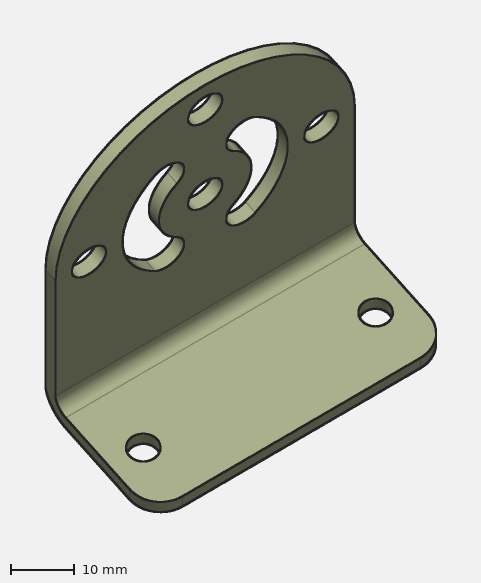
import cadquery as cq
import math

HEIGHT = 65.0
WIDTH = 58.0
DEPTH = 28.6
THICKNESS = 2.7
BEND_INNER_RADIUS = 2.7
BEND_OUTER_RADIUS = BEND_INNER_RADIUS + THICKNESS

TOP_RADIUS = WIDTH / 2
ARC_CENTER_Z = HEIGHT - TOP_RADIUS
PLATE_HOLE_DIAMETER = 6.6
HOLE_OFFSET = 22.5
SLOT_RADIUS = 12.5
SLOT_WIDTH = 7.0
SLOT_HALF_ANGLE = 52.6
SLOT_MIDDLE_ANGLES = (0, 180)

FOOT_CORNER_RADIUS = 6.0
FOOT_HOLE_DIAMETER = 5.4
FOOT_HOLE_X = 17.3


def bent_sheet():
    """L-shaped sheet of constant thickness, extruded along Y."""
    return (
        cq.Workplane("XZ")
        .moveTo(0, HEIGHT)
        .lineTo(0, BEND_OUTER_RADIUS)
        .radiusArc((BEND_OUTER_RADIUS, 0), -BEND_OUTER_RADIUS)
        .lineTo(DEPTH, 0)
        .lineTo(DEPTH, THICKNESS)
        .lineTo(BEND_OUTER_RADIUS, THICKNESS)
        .radiusArc((THICKNESS, BEND_OUTER_RADIUS), BEND_INNER_RADIUS)
        .lineTo(THICKNESS, HEIGHT)
        .close()
        .extrude(WIDTH / 2, both=True)
    )


def front_outline():
    """Straight-sided outline with a semicircular top, extruded along X."""
    return (
        cq.Workplane("YZ")
        .moveTo(-TOP_RADIUS, 0)
        .lineTo(TOP_RADIUS, 0)
        .lineTo(TOP_RADIUS, ARC_CENTER_Z)
        .threePointArc((0, HEIGHT), (-TOP_RADIUS, ARC_CENTER_Z))
        .close()
        .extrude(DEPTH)
    )


def plate_holes():
    """One hole at the arc centre, one above it and one on either side."""
    centers = [(0, 0), (0, HOLE_OFFSET), (-HOLE_OFFSET, 0), (HOLE_OFFSET, 0)]
    return (
        cq.Workplane("YZ", origin=(0, 0, ARC_CENTER_Z))
        .pushPoints(centers)
        .circle(PLATE_HOLE_DIAMETER / 2)
        .extrude(THICKNESS)
    )


def polar_point(radius, angle):
    """Point on a circle about the arc centre, with the angle in degrees from +Y."""
    return (radius * math.cos(math.radians(angle)), radius * math.sin(math.radians(angle)))


def arc_slot(middle_angle):
    """Round-ended slot that follows a circle about the arc centre."""
    inner_radius = SLOT_RADIUS - SLOT_WIDTH / 2
    outer_radius = SLOT_RADIUS + SLOT_WIDTH / 2
    start_angle = middle_angle - SLOT_HALF_ANGLE
    end_angle = middle_angle + SLOT_HALF_ANGLE
    end_radius = SLOT_WIDTH / 2
    return (
        cq.Workplane("YZ", origin=(0, 0, ARC_CENTER_Z))
        .moveTo(*polar_point(outer_radius, start_angle))
        .threePointArc(polar_point(outer_radius, middle_angle), polar_point(outer_radius, end_angle))
        .radiusArc(polar_point(inner_radius, end_angle), -end_radius)
        .threePointArc(polar_point(inner_radius, middle_angle), polar_point(inner_radius, start_angle))
        .radiusArc(polar_point(outer_radius, start_angle), -end_radius)
        .close()
        .extrude(THICKNESS)
    )


def foot_holes():
    """Pair of holes through the foot, in line with the side holes of the plate."""
    return (
        cq.Workplane("XY")
        .pushPoints([(FOOT_HOLE_X, -HOLE_OFFSET), (FOOT_HOLE_X, HOLE_OFFSET)])
        .circle(FOOT_HOLE_DIAMETER / 2)
        .extrude(THICKNESS)
    )


def make_bracket():
    """Bent bracket with its rounded corners and all its openings."""
    bracket = bent_sheet().intersect(front_outline())
    bracket = bracket.edges("|Z and >X").fillet(FOOT_CORNER_RADIUS)
    bracket = bracket.cut(plate_holes()).cut(foot_holes())
    for middle_angle in SLOT_MIDDLE_ANGLES:
        bracket = bracket.cut(arc_slot(middle_angle))
    return bracket


bracket = make_bracket()
result = cq.Compound.makeCompound([bracket.val()])